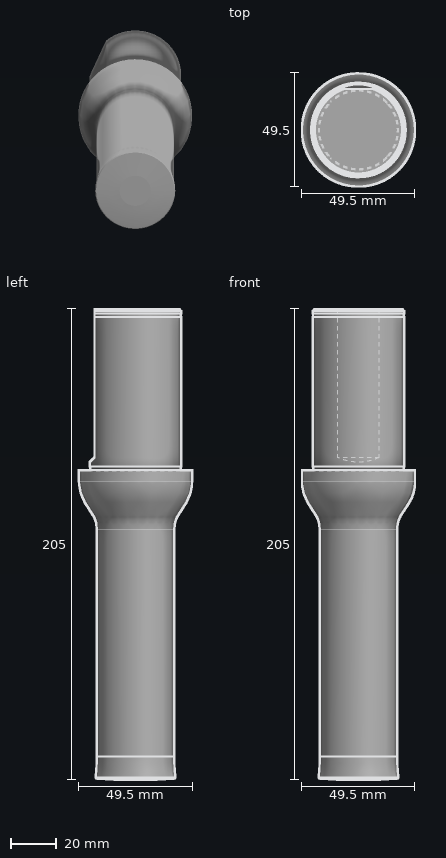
import cadquery as cq

total_length = 205.0
head_top = 10.2
bowl_bottom = 109.0
flange_bottom = 130.0
flange_top = 134.9

shank_diameter = 40.0
end_face_diameter = 38.0
end_chamfer_height = 1.0
end_band_height = 3.5
end_groove_width = 1.5
flat_distance = 17.8
flat_bottom = 138.4
runout_height = 2.0

neck_diameter = 39.5
neck_height = 1.5
face_groove_diameter = 41.2
face_groove_depth = 0.5

flange_diameter = 49.5
column_diameter = 33.8
bowl_waist_height = 118.3
bowl_waist_diameter = 41.2

head_diameter = 34.8
head_corner_height = 0.6
tip_diameter = 13.5
head_rim_height = 0.6
head_rim_inset = 0.5


def make_holder():
    """Revolved column, bowl, flange and shank."""
    shank_radius = shank_diameter / 2
    neck_radius = neck_diameter / 2
    band_bottom = total_length - end_band_height
    bowl_waist = (bowl_waist_diameter / 2, bowl_waist_height)
    bowl_rim = (flange_diameter / 2, flange_bottom)
    profile = (
        cq.Workplane("XZ")
        .moveTo(0, head_top)
        .lineTo(column_diameter / 2, head_top)
        .lineTo(column_diameter / 2, bowl_bottom)
        .spline([bowl_waist, bowl_rim], tangents=[(0, 1), (0, 1)], includeCurrent=True)
        .lineTo(flange_diameter / 2, flange_top)
        .lineTo(face_groove_diameter / 2, flange_top)
        .lineTo(neck_radius, flange_top - face_groove_depth)
        .lineTo(neck_radius, flange_top + neck_height)
        .lineTo(shank_radius, flange_top + neck_height)
        .lineTo(shank_radius, band_bottom)
        .lineTo(neck_radius, band_bottom)
        .lineTo(neck_radius, band_bottom + end_groove_width)
        .lineTo(shank_radius, band_bottom + end_groove_width)
        .lineTo(shank_radius, total_length - end_chamfer_height)
        .lineTo(end_face_diameter / 2, total_length)
        .lineTo(0, total_length)
        .close()
    )
    return profile.revolve(360, (0, 0), (0, 1)).cut(make_flat_cutter())


def make_flat_cutter():
    """Block that leaves the drive flat, with a sloping run-out at its lower end."""
    outer = flange_diameter / 2
    shank_radius = shank_diameter / 2
    return (
        cq.Workplane("YZ")
        .moveTo(flat_distance, total_length)
        .lineTo(flat_distance, flat_bottom + runout_height)
        .lineTo(shank_radius, flat_bottom)
        .lineTo(outer, flat_bottom)
        .lineTo(outer, total_length)
        .close()
        .extrude(shank_radius, both=True)
    )


def make_head():
    """Slightly flared head with a shallow conical tip."""
    flare_bottom = head_rim_height + head_corner_height
    flare_width = (head_diameter - column_diameter) / 2
    flare_middle = (column_diameter / 2 + flare_width / 4, (head_top + flare_bottom) / 2)
    return (
        cq.Workplane("XZ")
        .moveTo(0, head_top)
        .lineTo(column_diameter / 2, head_top)
        .threePointArc(flare_middle, (head_diameter / 2, flare_bottom))
        .lineTo(head_diameter / 2 - head_rim_inset, head_rim_height)
        .lineTo(tip_diameter / 2, 0)
        .lineTo(0, 0)
        .close()
        .revolve(360, (0, 0), (0, 1))
    )


holder = make_holder()
head = make_head()
result = cq.Compound.makeCompound([holder.val(), head.val()])